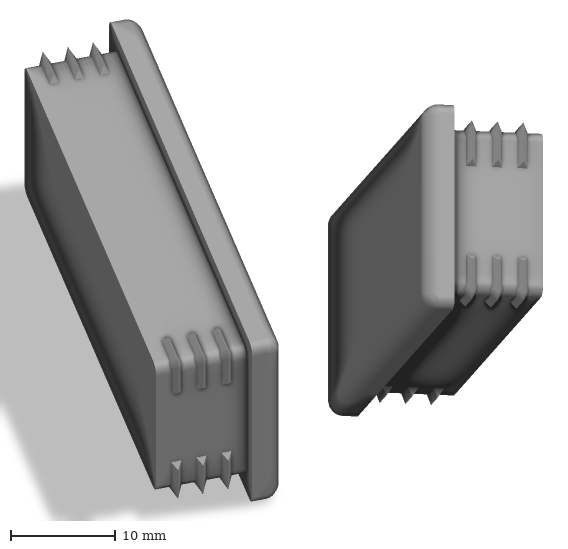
import cadquery as cq

flange_length = 50.0
flange_height = 20.0
flange_thickness = 3.0
edge_round = 1.5

flange_overhang = 2.0
body_length = flange_length - 2 * flange_overhang
body_height = flange_height - 2 * flange_overhang
body_depth = 9.0

corner_radius = 1.0

rib_projection = 0.75
rib_width = 1.0
rib_reach = 3.65
rib_end_run = 0.55
rib_corner_fillet = 1.0
rib_count = 3
rib_pitch = 2.5
first_rib_depth = 2.0
rib_root_inset = corner_radius

crest_length = body_length + 2 * rib_projection
crest_height = body_height + 2 * rib_projection
flank_depth = rib_projection + rib_root_inset
flank_half_width = rib_width / 2 * flank_depth / rib_projection
root_length = crest_length - 2 * flank_depth
root_height = crest_height - 2 * flank_depth


def rounded_block(length, height, y_start, y_end):
    """Block along Y, centred on X and Z, with its four long corners rounded."""
    return (
        cq.Workplane("XZ", origin=(0, y_end, 0))
        .rect(length, height)
        .extrude(y_end - y_start)
        .edges("|Y")
        .fillet(corner_radius)
    )


def make_flange():
    """Flange plate with its outer rim rounded over."""
    plate = rounded_block(flange_length, flange_height, 0, flange_thickness)
    return plate.faces(">Y").edges().fillet(edge_round)


def make_body():
    """Solid insert behind the flange."""
    return rounded_block(body_length, body_height, -body_depth, 0)


def make_rib_flank():
    """One flank of a full rib ring: a frustum from the crest (Y = 0) to its smaller root."""
    frustum = (
        cq.Workplane("XZ")
        .rect(crest_length, crest_height)
        .workplane(offset=flank_half_width)
        .rect(root_length, root_height)
        .loft(ruled=True)
    )
    hip_edges = frustum.edges("not(#Y)")
    return hip_edges.fillet(rib_corner_fillet)


def make_gap(side_length, side_distance):
    """Prism clearing a rib ring between its corners, along the side at +side_distance."""
    root_half = side_length / 2 - rib_reach
    clearance = 2 * rib_projection
    outer_half = root_half + rib_end_run * clearance / rib_projection
    outline = [
        (-root_half, side_distance),
        (root_half, side_distance),
        (outer_half, side_distance + clearance),
        (-outer_half, side_distance + clearance),
    ]
    return cq.Workplane("XZ").polyline(outline).close().extrude(2 * flank_half_width, both=True)


def make_rib():
    """Four corner ribs whose crests lie in the plane Y = 0."""
    flank = make_rib_flank()
    ring = flank.union(flank.mirror("XZ"))
    top_gap = make_gap(body_length, body_height / 2)
    side_gap = make_gap(body_height, body_length / 2).rotate((0, 0, 0), (0, 1, 0), 90)
    for gap in (top_gap, side_gap):
        opposite_gap = gap.rotate((0, 0, 0), (0, 1, 0), 180)
        ring = ring.cut(gap).cut(opposite_gap)
    return ring


result = make_flange().union(make_body())
rib = make_rib()
for index in range(rib_count):
    rib_depth = first_rib_depth + index * rib_pitch
    result = result.union(rib.translate((0, -rib_depth, 0)))